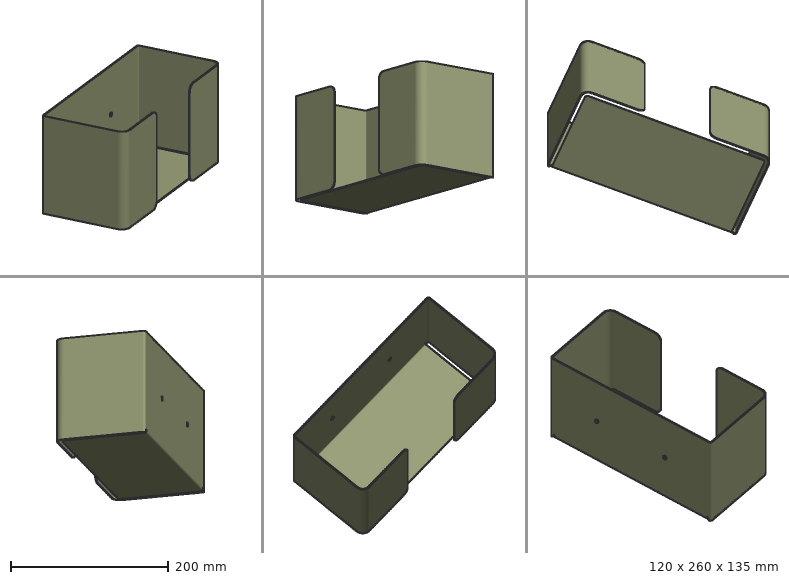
import cadquery as cq

depth = 120.0
length = 260.0
height = 135.0
sheet = 1.5

back_bend = 3.0
front_bend = 11.5

lip_length = 85.0
lip_corner = 10.0

shelf_length = 247.0
shelf_reach = 113.0
shelf_corner = 4.0
shelf_bend = back_bend

relief_width = 1.0
relief_height = 4.2
relief_flare_top = 2.3
relief_flare_bottom = 0.5

hole_diameter = 5.5
hole_spacing = 110.0
hole_height = height / 2


def rounded_tray(inset):
    """Full-height block inside the sheet's outer (inset 0) or inner surface."""
    block = cq.Workplane("XY").box(
        depth - 2 * inset, length - 2 * inset, height, centered=(False, True, False)
    )
    block = block.translate((inset, 0, 0))
    block = block.edges("|Z and <X").fillet(back_bend - inset)
    return block.edges("|Z and >X").fillet(front_bend - inset)


def wrapped_wall():
    """Back wall, side walls and front lips with rounded free corners."""
    opening_width = length - 2 * lip_length
    walls = rounded_tray(0).cut(rounded_tray(sheet))
    opening = (
        cq.Workplane("XY")
        .box(front_bend, opening_width, height, centered=(False, True, False))
        .translate((depth - front_bend, 0, 0))
    )
    walls = walls.cut(opening)
    lip_ends = cq.selectors.BoxSelector(
        (depth - front_bend, -opening_width / 2 - sheet, -sheet),
        (depth + sheet, opening_width / 2 + sheet, height + sheet),
    )
    return walls.edges(lip_ends).edges("|X").fillet(lip_corner)


def shelf():
    """Flat shelf with the bend that joins it to the back wall."""
    bend_inner = shelf_bend - sheet
    profile = (
        cq.Workplane("XZ")
        .moveTo(0, relief_height)
        .lineTo(0, shelf_bend)
        .radiusArc((shelf_bend, 0), -shelf_bend)
        .lineTo(shelf_reach, 0)
        .lineTo(shelf_reach, sheet)
        .lineTo(shelf_bend, sheet)
        .radiusArc((sheet, shelf_bend), bend_inner)
        .lineTo(sheet, relief_height)
        .close()
        .extrude(shelf_length / 2, both=True)
    )
    return profile.edges("|Z and >X").fillet(shelf_corner)


def shelf_clearance():
    """Lower strip of the back wall replaced by the shelf bend and its flared reliefs."""
    slit_y = shelf_length / 2 + relief_width
    bend_y = length / 2 - back_bend
    return (
        cq.Workplane("YZ")
        .polyline([
            (-bend_y, 0),
            (-bend_y, relief_flare_bottom),
            (-slit_y, relief_flare_top),
            (-slit_y, relief_height),
            (slit_y, relief_height),
            (slit_y, relief_flare_top),
            (bend_y, relief_flare_bottom),
            (bend_y, 0),
        ])
        .close()
        .extrude(sheet)
    )


def mounting_holes():
    return (
        cq.Workplane("YZ")
        .pushPoints([(side * hole_spacing / 2, hole_height) for side in (-1, 1)])
        .circle(hole_diameter / 2)
        .extrude(sheet)
    )


result = wrapped_wall().cut(shelf_clearance()).union(shelf()).cut(mounting_holes())